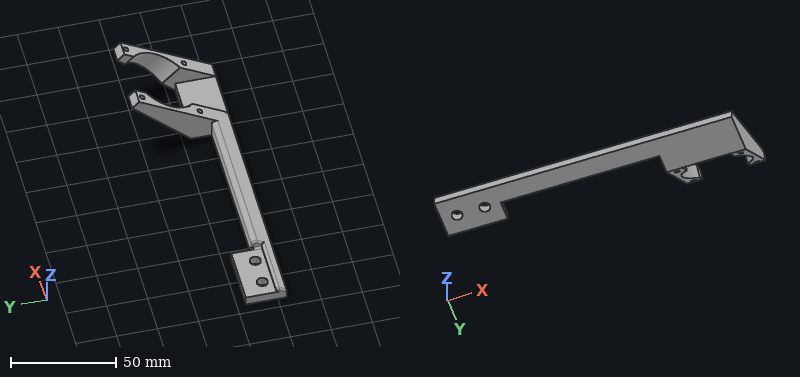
import cadquery as cq
import math

length = 150.0
base_depth = 20.0
base_height = 5.0

back_angle = 45.0
left_arm_reach = 40.745
right_arm_reach = 40.0
arm_end_thickness = 5.0
arm_width = 8.0
arm_gap = 24.0
right_arm_x = length - arm_width
left_arm_x = right_arm_x - arm_gap - arm_width

bar_depth = 10.0
bar_round = 2.0

pad_length = 30.0
lip_depth = 5.0
edge_round = 1.0
pad_hole_diameter = 5.2
pad_hole_y = base_depth / 2
pad_hole_xs = (8.0, 22.0)

bore_radius = 17.5
bore_distance = 22.0
screw_diameter = 2.5
screw_spacing = 32.0
bore_x = right_arm_x - arm_gap / 2
cut_reach = 60.0


def arm_tip(reach):
    """Lower corner (y, z) of the end face of an arm."""
    angle = math.radians(back_angle)
    return base_depth + reach * math.cos(angle), reach * math.sin(angle)


def arm_top(reach):
    """Upper corner (y, z) of the end face of an arm."""
    angle = math.radians(back_angle)
    tip_y, tip_z = arm_tip(reach)
    return tip_y - arm_end_thickness * math.sin(angle), tip_z + arm_end_thickness * math.cos(angle)


def slope_height(y):
    """Height of the inclined top plane, from the upper front edge of the base to the left arm's top."""
    top_y, top_z = arm_top(left_arm_reach)
    return base_height + (top_z - base_height) * y / top_y


def extrude_profile(points, x_start, x_end):
    """Extrude a (y, z) outline along X."""
    return cq.Workplane("YZ", origin=(x_start, 0, 0)).polyline(points).close().extrude(x_end - x_start)


def sloped_bar(x_start, x_end, depth, back_round):
    """Bar under the inclined plane with a rounded upper back edge and a rounded left end."""
    outline = [(0, 0), (depth, 0), (depth, slope_height(depth)), (0, base_height)]
    bar = extrude_profile(outline, x_start, x_end)
    back_edge = cq.selectors.NearestToPointSelector(((x_start + x_end) / 2, depth, slope_height(depth)))
    bar = bar.edges(back_edge).fillet(back_round)
    slope_edge = cq.selectors.NearestToPointSelector((x_start, depth / 4, slope_height(depth / 4)))
    return bar.edges(slope_edge).fillet(edge_round)


def base_box(x_start, x_end, y_start, y_end):
    """Block of base height standing on z = 0."""
    block = cq.Workplane("XY").box(x_end - x_start, y_end - y_start, base_height, centered=False)
    return block.translate((x_start, y_start, 0))


def mounting_pad():
    """Pad plate with a rounded upper right edge behind the bar.

    It reaches under the back of the lip but stays clear of the rounded left end of the slope.
    """
    front = base_box(0, pad_length, lip_depth - 2 * edge_round, bar_depth)
    rear = base_box(0, pad_length, bar_depth, base_depth)
    rear = rear.edges("|Y and >X and >Z").fillet(edge_round)
    return front.union(rear)


def pad_cove():
    """Concave fillet between the pad and the end of the bar."""
    return (
        cq.Workplane("XZ", origin=(pad_length, bar_depth - edge_round, base_height))
        .moveTo(-edge_round, 0)
        .radiusArc((0, edge_round), -edge_round)
        .lineTo(edge_round, edge_round)
        .lineTo(edge_round, 0)
        .close()
        .extrude(bar_depth - edge_round - lip_depth)
    )


def clamp_arm(x_start, reach):
    """Tapered arm leaning back at 45 degrees, without its bore and screw holes."""
    outline = [(0, 0), (base_depth, 0), arm_tip(reach), arm_top(reach), (0, base_height)]
    return extrude_profile(outline, x_start, x_start + arm_width)


def clamp_cuts():
    """Bore and four screw holes square to the back face of the arms."""
    plane = cq.Workplane("XY", origin=(bore_x, base_depth, 0))
    plane = plane.transformed(rotate=(back_angle, 0, 0)).center(0, bore_distance)
    screws = plane.rect(screw_spacing, screw_spacing, forConstruction=True).vertices()
    screws = screws.circle(screw_diameter / 2).extrude(cut_reach, both=True)
    bore = plane.circle(bore_radius).extrude(cut_reach, both=True)
    return bore, screws


bore, screws = clamp_cuts()
arms = clamp_arm(left_arm_x, left_arm_reach).union(clamp_arm(right_arm_x, right_arm_reach))
arms = arms.cut(bore).cut(screws)

bar = sloped_bar(pad_length, left_arm_x, bar_depth, bar_round)
bar = bar.union(base_box(pad_length, pad_length + edge_round, 0, bar_depth))
lip = sloped_bar(0, pad_length + edge_round, lip_depth, edge_round)
pad_holes = (
    cq.Workplane("XY")
    .pushPoints([(x, pad_hole_y) for x in pad_hole_xs])
    .circle(pad_hole_diameter / 2)
    .extrude(base_height)
)
pad = mounting_pad().union(pad_cove()).cut(pad_holes)
bridge = base_box(left_arm_x + arm_width, right_arm_x, 0, base_depth)

result = arms.union(bridge).union(bar).union(lip).union(pad).clean()